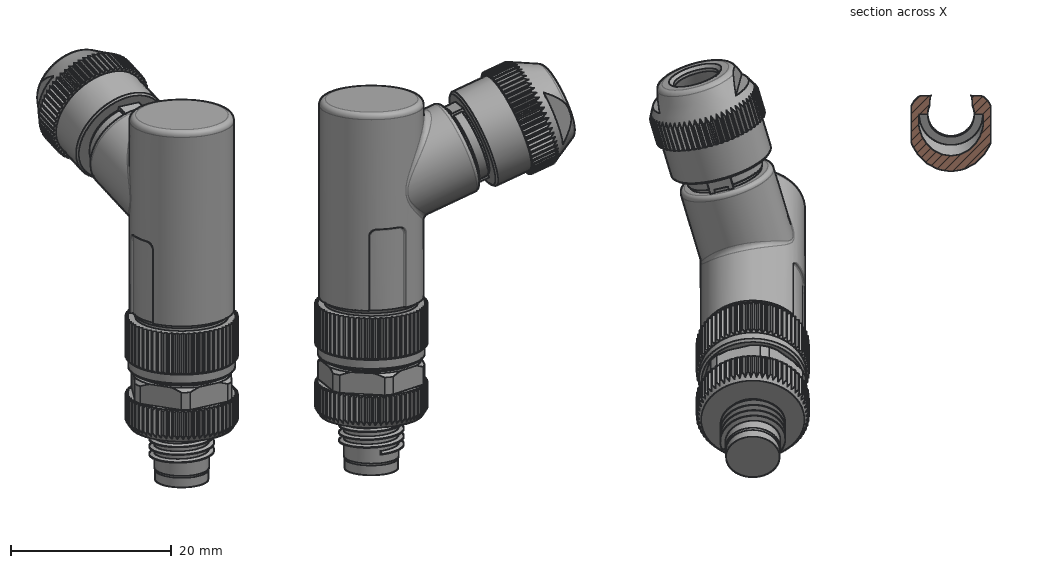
import cadquery as cq
import math

TOLERANCE = 0.0005

SHAFT_TIP_RADIUS = 3.35
SHAFT_RADIUS = 3.45
SHAFT_TIP_TOP = 1.25
SHAFT_SHOULDER = 1.55
COUPLING_BOTTOM = 7.1
COUPLING_BOTTOM_RADIUS = 6.4
COUPLING_KNURL_BOTTOM = 8.0
COUPLING_KNURL_TOP = 11.3
HEX_TOP = 14.05
COLLAR_BOTTOM = 14.5
COLLAR_CHAMFER = 0.3
COLLAR_TOP = 15.9
RING_BOTTOM = 16.2
RING_TOP = 21.4
BODY_CHAMFER_BOTTOM = 21.75
BODY_BOTTOM = 22.25
BODY_TOP = 47.8

BODY_RADIUS = 6.5
BODY_TOP_FILLET = 0.75
BODY_NECK_RADIUS = 5.8
COLLAR_RADIUS = 6.65
COLLAR_NECK_RADIUS = 5.45

KNURL_DIAMETER = 14.0
KNURL_RADIUS = KNURL_DIAMETER / 2
KNURL_ROOT_RADIUS = 6.65
KNURL_TEETH = 60
KNURL_CREST_SHARE = 0.3
KNURL_EDGE = 0.2

HEX_ACROSS_FLATS = 12.1
HEX_CORNER_RADIUS = 6.65
HEX_CHAMFER = 0.45

THREAD_PITCH = 1.0
THREAD_CREST_RADIUS = 4.05
THREAD_ROOT_WIDTH = 0.6
THREAD_CREST_WIDTH = 0.1
THREAD_START = 2.9
THREAD_TURNS = 3.6
THREAD_START_ANGLE = 90
THREAD_OVERLAP = 0.15

PANEL_WIDTH = 4.75
PANEL_TOP = 32.75
PANEL_CORNER_RADIUS = 0.9
PANEL_DEPTH = 0.3
PANEL_FLOOR_FILLET = 0.15
PANEL_RIM_FILLET = 0.1
PANEL_FLOOR_RADIUS = BODY_RADIUS - PANEL_DEPTH
PANEL_CUT_BOTTOM = BODY_BOTTOM - 0.5

ARM_TILT = 20
ARM_AXIS_HEIGHT = 36.4
ARM_RADIUS = 6.0
ARM_END = 12.25
ARM_END_FILLET = 0.6
ARM_BLEND = 0.75
NECK_RADIUS = 4.85
NECK_GROOVE_RADIUS = 4.65
NECK_COLLAR_START = 12.65
SEAL_GROOVE_START = 13.85
KEY_HEIGHT = 4.95
KEY_WIDTH = 3.05
KEY_NOTCH_WIDTH = 1.75
KEY_NOTCH_DEPTH = 0.1
NUT_START = 14.15
NUT_RADIUS = 6.45
NUT_CHAMFER = 0.25
NUT_KNURL_START = 19.05
NUT_KNURL_END = 22.15
NOSE_END = 26.2
NOSE_END_RADIUS = 4.85
NOSE_FILLET = 0.9
NOSE_FLAT_START = 23.65
NOSE_FLAT_HALF_GAP = 4.95
BORE_RADIUS = 3.4
LIP_RADIUS = 2.9
LIP_FRONT_DEPTH = 0.4
LIP_BACK_DEPTH = 0.8
CAVITY_FRONT_RADIUS = 3.95
CAVITY_FLOOR_RADIUS = 5.05
CAVITY_FLOOR = 22.85


def turned(points):
    """Solid of revolution about Z from (radius, height) points running up the outer side."""
    outline = [(0, points[0][1])] + points + [(0, points[-1][1])]
    return cq.Workplane("XZ").polyline(outline).close().revolve(360, (0, 0), (0, 1))


def disc(radius, bottom, top):
    return turned([(radius, bottom), (radius, top)])


def toothed_prism(bottom, top):
    """Prism with flat-topped teeth and V-shaped gaps, used to knurl turned blanks."""
    pitch_angle = 2 * math.pi / KNURL_TEETH
    half_crest = pitch_angle * KNURL_CREST_SHARE / 2
    outer = KNURL_RADIUS / math.cos(half_crest)
    points = []
    for tooth in range(KNURL_TEETH):
        middle = tooth * pitch_angle
        for radius, angle in (
            (outer, middle - half_crest),
            (outer, middle + half_crest),
            (KNURL_ROOT_RADIUS, middle + pitch_angle / 2),
        ):
            points.append((radius * math.cos(angle), radius * math.sin(angle)))
    return cq.Workplane("XY").workplane(offset=bottom).polyline(points).close().extrude(top - bottom)


def knurled(blank, bottom, top):
    return blank.intersect(toothed_prism(bottom, top))


def make_shaft():
    return turned([
        (SHAFT_TIP_RADIUS, 0),
        (SHAFT_TIP_RADIUS, SHAFT_TIP_TOP),
        (SHAFT_RADIUS, SHAFT_SHOULDER),
        (SHAFT_RADIUS, COUPLING_BOTTOM),
    ])


def make_thread():
    root_radius = SHAFT_RADIUS - THREAD_OVERLAP
    path = cq.Wire.makeHelix(THREAD_PITCH, THREAD_PITCH * THREAD_TURNS, root_radius)
    ridge = cq.Workplane("XZ").polyline([
        (root_radius, -THREAD_ROOT_WIDTH / 2),
        (THREAD_CREST_RADIUS, -THREAD_CREST_WIDTH / 2),
        (THREAD_CREST_RADIUS, THREAD_CREST_WIDTH / 2),
        (root_radius, THREAD_ROOT_WIDTH / 2),
    ]).close().sweep(cq.Workplane(path), isFrenet=True)
    return ridge.rotate((0, 0, 0), (0, 0, 1), THREAD_START_ANGLE).translate((0, 0, THREAD_START))


def make_coupling_nut():
    grip_blank = turned([
        (COUPLING_BOTTOM_RADIUS, COUPLING_BOTTOM),
        (KNURL_RADIUS, COUPLING_KNURL_BOTTOM),
        (KNURL_RADIUS, COUPLING_KNURL_TOP - KNURL_EDGE),
        (KNURL_RADIUS - KNURL_EDGE, COUPLING_KNURL_TOP),
    ])
    grip = knurled(grip_blank, COUPLING_BOTTOM, COUPLING_KNURL_TOP)
    hex_blank = turned([
        (HEX_CORNER_RADIUS, COUPLING_KNURL_TOP),
        (HEX_CORNER_RADIUS, HEX_TOP - HEX_CHAMFER),
        (HEX_CORNER_RADIUS - HEX_CHAMFER, HEX_TOP),
    ])
    across_corners = HEX_ACROSS_FLATS / math.cos(math.pi / 6)
    prism = (
        cq.Workplane("XY").workplane(offset=COUPLING_KNURL_TOP)
        .transformed(rotate=(0, 0, 30))
        .polygon(6, across_corners)
        .extrude(HEX_TOP - COUPLING_KNURL_TOP)
    )
    return grip.union(hex_blank.intersect(prism))


def make_clamp_ring():
    collar = turned([
        (COLLAR_NECK_RADIUS, HEX_TOP),
        (COLLAR_NECK_RADIUS, COLLAR_BOTTOM),
        (COLLAR_RADIUS - COLLAR_CHAMFER, COLLAR_BOTTOM),
        (COLLAR_RADIUS, COLLAR_BOTTOM + COLLAR_CHAMFER),
        (COLLAR_RADIUS, COLLAR_TOP),
    ])
    grip_blank = turned([
        (COLLAR_RADIUS, COLLAR_TOP),
        (KNURL_RADIUS, RING_BOTTOM),
        (KNURL_RADIUS, RING_TOP),
    ])
    return collar.union(knurled(grip_blank, COLLAR_TOP, RING_TOP))


def on_arm(shape):
    """Move a shape built along Z from the origin onto the inclined arm axis."""
    return shape.rotate((0, 0, 0), (0, 1, 0), ARM_TILT - 90).translate((0, 0, ARM_AXIS_HEIGHT))


def make_body():
    column = disc(BODY_RADIUS, BODY_BOTTOM, BODY_TOP)
    arm = on_arm(disc(ARM_RADIUS, 0, ARM_END).faces(">Z").edges().fillet(ARM_END_FILLET))
    body = column.union(arm)
    seam = [
        edge for edge in body.edges().vals()
        if edge.geomType() not in ("LINE", "CIRCLE")
    ]
    body = body.newObject(seam).fillet(ARM_BLEND)
    return body.faces(">Z").edges().fillet(BODY_TOP_FILLET)


def panel_cutter(side):
    """Arch-topped pad that sinks one panel, its floor concentric with the body."""
    height = PANEL_TOP - PANEL_CUT_BOTTOM
    window = (
        cq.Workplane("XY")
        .box(PANEL_WIDTH, 2 * BODY_RADIUS, height)
        .translate((0, side * BODY_RADIUS, PANEL_CUT_BOTTOM + height / 2))
        .edges("|Y and >Z").fillet(PANEL_CORNER_RADIUS)
    )
    pad = window.cut(disc(PANEL_FLOOR_RADIUS, PANEL_CUT_BOTTOM, PANEL_TOP))
    floor = pad.faces("<Y" if side > 0 else ">Y")
    return floor.edges("not <Z").fillet(PANEL_FLOOR_FILLET)


def on_panel_rim(edge):
    """True for an edge that lies on the body's outer surface around a panel."""
    middle = edge.positionAt(0.5)
    on_surface = all(
        abs(math.hypot(point.x, point.y) - BODY_RADIUS) < TOLERANCE
        for point in (edge.startPoint(), middle, edge.endPoint())
    )
    within_width = abs(middle.x) < PANEL_WIDTH / 2 + TOLERANCE
    within_height = BODY_BOTTOM + TOLERANCE < middle.z < PANEL_TOP + TOLERANCE
    return on_surface and within_width and within_height


def cut_panels(body):
    for side in (1, -1):
        body = body.cut(panel_cutter(side))
    rims = [edge for edge in body.edges().vals() if on_panel_rim(edge)]
    return body.newObject(rims).fillet(PANEL_RIM_FILLET)


def make_body_foot():
    return turned([
        (BODY_NECK_RADIUS, RING_TOP),
        (BODY_NECK_RADIUS, BODY_CHAMFER_BOTTOM),
        (PANEL_FLOOR_RADIUS, BODY_BOTTOM),
    ])


def make_arm_neck():
    neck = turned([
        (NECK_GROOVE_RADIUS, ARM_END),
        (NECK_GROOVE_RADIUS, NECK_COLLAR_START),
        (NECK_RADIUS, NECK_COLLAR_START),
        (NECK_RADIUS, SEAL_GROOVE_START),
        (NECK_GROOVE_RADIUS, SEAL_GROOVE_START),
        (NECK_GROOVE_RADIUS, NUT_START),
    ])
    key = (
        cq.Workplane("XY").workplane(offset=ARM_END)
        .rect(2 * KEY_HEIGHT, KEY_WIDTH)
        .extrude(NUT_START - ARM_END)
    )
    neck = neck.union(key)
    for side in (1, -1):
        notch = (
            cq.Workplane("XY").workplane(offset=ARM_END)
            .center(side * KEY_HEIGHT, 0)
            .rect(2 * KEY_NOTCH_DEPTH, KEY_NOTCH_WIDTH)
            .extrude(NECK_COLLAR_START - ARM_END)
        )
        neck = neck.cut(notch)
    return neck


def make_cable_nut():
    sleeve = turned([
        (NUT_RADIUS - NUT_CHAMFER, NUT_START),
        (NUT_RADIUS, NUT_START + NUT_CHAMFER),
        (NUT_RADIUS, NUT_KNURL_START),
    ])
    nose_blank = turned([
        (KNURL_RADIUS, NUT_KNURL_START),
        (KNURL_RADIUS, NUT_KNURL_END),
        (NOSE_END_RADIUS, NOSE_END),
    ]).faces(">Z").edges().fillet(NOSE_FILLET)
    nose = knurled(nose_blank, NUT_KNURL_START, NOSE_END)
    for side in (1, -1):
        flat = (
            cq.Workplane("XY").workplane(offset=NOSE_FLAT_START)
            .center(0, side * (NOSE_FLAT_HALF_GAP + KNURL_RADIUS / 2))
            .rect(2 * KNURL_RADIUS, KNURL_RADIUS)
            .extrude(NOSE_END - NOSE_FLAT_START)
        )
        nose = nose.cut(flat)
    hollow = turned([
        (CAVITY_FLOOR_RADIUS, CAVITY_FLOOR),
        (CAVITY_FRONT_RADIUS, NOSE_END - LIP_BACK_DEPTH),
        (LIP_RADIUS, NOSE_END - LIP_BACK_DEPTH),
        (LIP_RADIUS, NOSE_END - LIP_FRONT_DEPTH),
        (BORE_RADIUS, NOSE_END),
    ])
    return sleeve.union(nose).cut(hollow)


body = cut_panels(make_body()).union(make_body_foot())
column = make_shaft().union(make_thread()).union(make_coupling_nut()).union(make_clamp_ring())
arm_end = on_arm(make_arm_neck().union(make_cable_nut()))
result = body.union(column).union(arm_end)